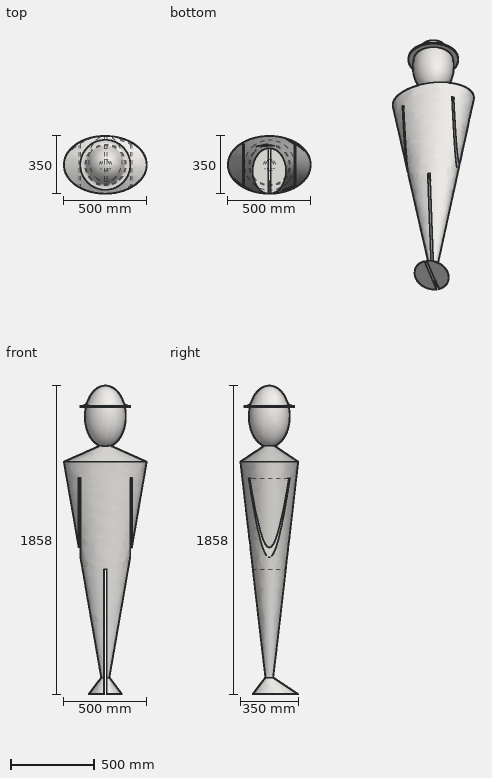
import cadquery as cq

ankle_z = 100.0
crotch_z = 750.0
arm_slot_top_z = 1300.0
shoulder_z = 1400.0
neck_z = 1500.0
brim_bottom_z = 1728.0
total_height = 1858.0

shoulder_width = 500.0
shoulder_depth = 350.0
ankle_radius = 25.0
neck_radius = 25.0
foot_half_width = 100.0
heel_y = -100.0
toe_y = shoulder_depth / 2

leg_slot_width = 15.0
arm_slot_width = 10.0
torso_half_width = 150.0

head_radius = 125.0
head_half_height = 185.0
brim_radius = 150.0
brim_thickness = 10.0
brim_fillet = 22.0


def elliptic_taper(base_z, base_size, base_y, top_z, top_size):
    """Straight-sided loft between two ellipses given by their X and Y semi-axes."""
    return (
        cq.Workplane("XY", origin=(0, base_y, base_z))
        .ellipse(*base_size)
        .workplane(offset=top_z - base_z)
        .center(0, -base_y)
        .ellipse(*top_size)
        .loft(ruled=True, combine=True)
    )


def slot_cutter(x_center, width, bottom_z, top_z):
    """Slab running through the whole figure from front to back."""
    height = top_z - bottom_z
    return (
        cq.Workplane("XY", origin=(x_center, 0, bottom_z))
        .box(width, 2 * shoulder_depth, height, centered=(True, True, False))
    )


def make_feet():
    foot_size = (foot_half_width, (toe_y - heel_y) / 2)
    foot_center_y = (toe_y + heel_y) / 2
    return elliptic_taper(0, foot_size, foot_center_y, ankle_z, (ankle_radius, ankle_radius))


def make_body():
    shoulder_size = (shoulder_width / 2, shoulder_depth / 2)
    trunk = elliptic_taper(ankle_z, (ankle_radius, ankle_radius), 0, shoulder_z, shoulder_size)
    shoulders = elliptic_taper(shoulder_z, shoulder_size, 0, neck_z, (neck_radius, neck_radius))
    return trunk.union(shoulders)


def make_head_with_hat():
    head = (
        cq.Workplane("XZ", origin=(0, 0, total_height - head_half_height))
        .moveTo(0, -head_half_height)
        .ellipseArc(head_radius, head_half_height, -90, 90, startAtCurrent=True)
        .close()
        .revolve(360, (0, 0), (0, 1))
    )
    brim = cq.Workplane("XY", origin=(0, 0, brim_bottom_z)).circle(brim_radius).extrude(brim_thickness)
    crown_edge = cq.selectors.LengthNthSelector(0)
    return head.union(brim).faces("|Z").faces(">Z").edges(crown_edge).fillet(brim_fillet)


result = make_body().union(make_feet()).union(make_head_with_hat())
result = result.cut(slot_cutter(0, leg_slot_width, 0, crotch_z))

arm_slot_x = torso_half_width + arm_slot_width / 2
for side in (-1, 1):
    result = result.cut(slot_cutter(side * arm_slot_x, arm_slot_width, crotch_z, arm_slot_top_z))